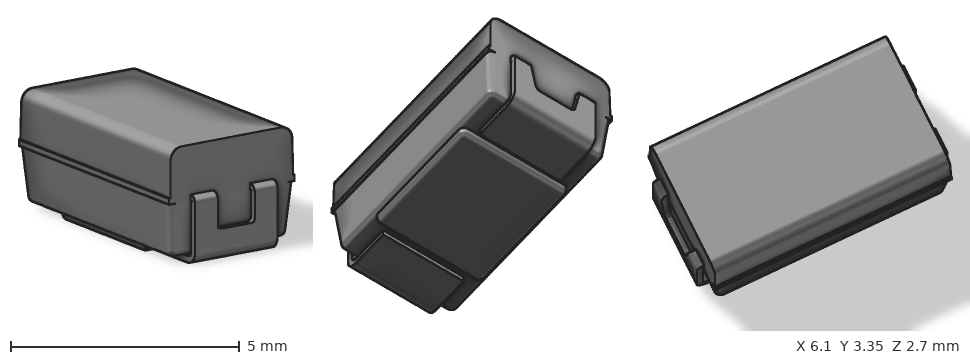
import cadquery as cq
import math

length = 6.1
height = 2.7

flange_length = 5.745
flange_width = 3.35
flange_top = 1.575
flange_thickness = 0.14
flange_bottom = flange_top - flange_thickness

cap_width = 3.275
cap_draft = 1.0
cap_edge_radius = 0.3

base_width = 3.32
base_bottom = 0.175
base_draft = 5.0
base_edge_radius = 0.145

pad_length = 3.23
pad_width = 2.915
pad_bottom = 0.02
pad_corner_radius = 0.15
pad_edge_radius = 0.145

lead_thickness = 0.15
lead_width = 2.195
lead_top_radius = (length - flange_length) / 2
lead_bottom_radius = 0.3
foot_length = 1.29
lead_embed = 0.12
lead_outer_x = -length / 2
lead_arm_end = -flange_length / 2 + lead_embed

notch_bottom = 0.725
left_notch_width = 1.04
left_notch_angle = 11.3
left_notch_radius = 0.15
right_notch_width = 0.98
right_notch_angle = 0.0
right_notch_radius = 0.1


def make_cap():
    """Upper body half with rounded long top edges."""
    cap = (
        cq.Workplane("XY", origin=(0, 0, flange_top))
        .rect(flange_length, cap_width)
        .extrude(height - flange_top, taper=cap_draft)
    )
    return cap.faces(">Z").edges("|X").fillet(cap_edge_radius)


def make_flange():
    return (
        cq.Workplane("XY", origin=(0, 0, flange_bottom))
        .rect(flange_length, flange_width)
        .extrude(flange_thickness)
    )


def make_base():
    """Lower body half with rounded corners and bottom edges."""
    base = (
        cq.Workplane("XY", origin=(0, 0, flange_bottom))
        .rect(flange_length, base_width)
        .extrude(base_bottom - flange_bottom, taper=base_draft)
    )
    base = base.edges("not #Z").fillet(base_edge_radius)
    return base.faces("<Z").edges().fillet(base_edge_radius)


def make_pad():
    """Shallow pad with rounded corners and bottom edges, sunk into the base."""
    pad = (
        cq.Workplane("XY", origin=(0, 0, pad_bottom))
        .rect(pad_length, pad_width)
        .extrude(flange_bottom - pad_bottom)
    )
    pad = pad.edges("|Z").fillet(pad_corner_radius)
    return pad.faces("<Z").edges().fillet(pad_edge_radius)


def make_notch(floor_width, side_angle, corner_radius):
    """Cutter for a notch, open at the top, through the upright of the -X terminal."""
    depth = flange_top - notch_bottom
    top_width = floor_width + 2 * depth * math.tan(math.radians(side_angle))
    notch = (
        cq.Workplane("YZ", origin=(lead_outer_x, 0, 0))
        .moveTo(-floor_width / 2, notch_bottom)
        .lineTo(floor_width / 2, notch_bottom)
        .lineTo(top_width / 2, flange_top)
        .lineTo(-top_width / 2, flange_top)
        .close()
        .extrude(lead_arm_end - lead_outer_x)
    )
    return notch.faces("<Z").edges("|X").fillet(corner_radius)


def make_lead():
    """Terminal at the -X end: arm out of the flange, upright, and foot turned under."""
    inner_x = lead_outer_x + lead_thickness
    foot_end = lead_outer_x + foot_length
    arm_bottom = flange_top - lead_thickness
    inner_bottom_radius = lead_bottom_radius - lead_thickness

    return (
        cq.Workplane("XZ")
        .moveTo(lead_arm_end, flange_top)
        .lineTo(lead_outer_x + lead_top_radius, flange_top)
        .radiusArc((lead_outer_x, flange_top - lead_top_radius), -lead_top_radius)
        .lineTo(lead_outer_x, lead_bottom_radius)
        .radiusArc((lead_outer_x + lead_bottom_radius, 0), -lead_bottom_radius)
        .lineTo(foot_end, 0)
        .lineTo(foot_end, lead_thickness)
        .lineTo(lead_outer_x + lead_bottom_radius, lead_thickness)
        .radiusArc((inner_x, lead_bottom_radius), inner_bottom_radius)
        .lineTo(inner_x, arm_bottom)
        .lineTo(lead_arm_end, arm_bottom)
        .close()
        .extrude(lead_width / 2, both=True)
    )


lead = make_lead()
left_lead = lead.cut(make_notch(left_notch_width, left_notch_angle, left_notch_radius))
right_lead = lead.cut(make_notch(right_notch_width, right_notch_angle, right_notch_radius)).mirror("YZ")

result = (
    make_flange()
    .union(make_cap())
    .union(make_base())
    .union(make_pad())
    .union(left_lead)
    .union(right_lead)
)